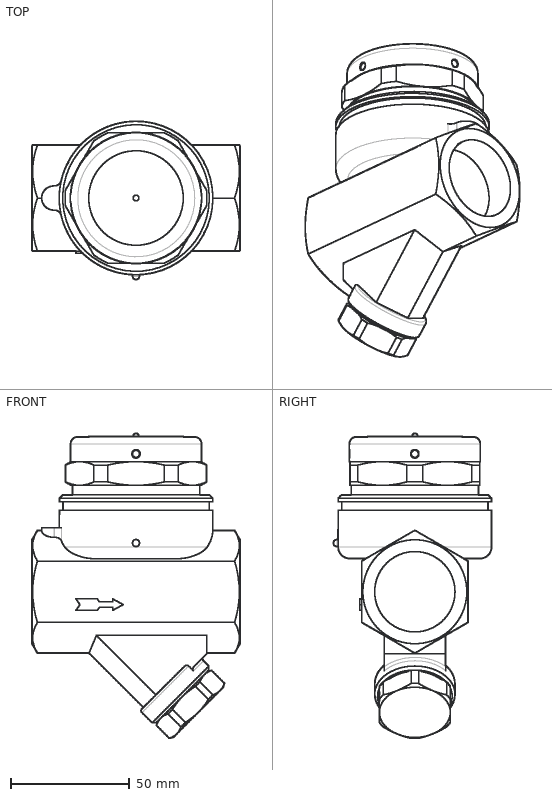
import cadquery as cq
import math

CHAMFER_SLOPE = math.tan(math.radians(30))

PIPE_LENGTH = 88.0
PIPE_FLATS = 45.0
PIPE_END_DIAMETER = 44.0
BORE_DIAMETER = 34.0
BORE_DEPTH = 14.0

CUP_DIAMETER = 65.0
CUP_BOTTOM = 14.0
CUP_TOP = 34.5
CUP_FILLET = 5.0
PIN_DIAMETER = 3.0
PIN_HEIGHT = 20.6
PIN_REACH = 34.49

TONGUE_RADIUS = 5.1
TONGUE_CENTRE_X = -34.8
TONGUE_TOP = 27.1
TONGUE_FILLET = 3.0

ARROW_TAIL_X = -25.4
ARROW_NOTCH_X = -23.7
ARROW_SHOULDER_X = -16.4
ARROW_SHAFT_X = -15.4
ARROW_HEAD_X = -9.8
ARROW_TIP_X = -5.4
ARROW_Z = -5.45
ARROW_HALF_HEIGHT = 2.4
ARROW_SHAFT_HALF_HEIGHT = 1.15
ARROW_RELIEF = 0.9

BRANCH_OFFSET = 17.4
BRANCH_FLATS = 26.0
BRANCH_END = 39.7
COLLAR_DIAMETER = 34.0
COLLAR_START = 36.8
COLLAR_END = 45.2
COLLAR_FILLET = 1.0
COLLAR_CHAMFER = 1.2
PLUG_FLATS = 30.0
PLUG_CORNER_DIAMETER = 33.0
PLUG_END = 54.7

FLANGE_DIAMETER = CUP_DIAMETER
FLANGE_BOTTOM = 38.0
FLANGE_TOP = 41.0
FLANGE_CHAMFER = 1.5
GROOVE_DIAMETER = FLANGE_DIAMETER - 2 * FLANGE_CHAMFER
NECK_DIAMETER = 54.0
NUT_FLATS = 55.0
NUT_CORNER_DIAMETER = 60.0
NUT_BOTTOM = 45.0
NUT_TOP = 55.0
CAP_DIAMETER = 55.5
CAP_TOP = 65.5
CAP_FILLET = 3.0
WEEP_HOLE_COUNT = 4
WEEP_HOLE_DIAMETER = 3.0
WEEP_HOLE_HEIGHT = 58.3
WEEP_HOLE_MOUTH = 3.6
WEEP_HOLE_DEPTH = 2.0
PLATE_DIAMETER = 40.0
PLATE_THICKNESS = 0.3
RIVET_RADIUS = 1.2


def cylinder(diameter, bottom, top):
    return cq.Workplane("XY").workplane(offset=bottom).circle(diameter / 2).extrude(top - bottom)


def chamfered_hexagon(flats, corner_diameter, end_diameter, bottom, top):
    """Hexagon along Z with corners on X, turned to a diameter and chamfered at both ends."""
    corner_radius = corner_diameter / 2
    end_radius = end_diameter / 2
    drop = (corner_radius - end_radius) * CHAMFER_SLOPE
    hexagon = (
        cq.Workplane("XY").workplane(offset=bottom)
        .polygon(6, flats / math.cos(math.radians(30))).extrude(top - bottom)
    )
    turned = (
        cq.Workplane("XZ")
        .moveTo(0, bottom)
        .lineTo(end_radius, bottom)
        .lineTo(corner_radius, bottom + drop)
        .lineTo(corner_radius, top - drop)
        .lineTo(end_radius, top)
        .lineTo(0, top)
        .close()
        .revolve(360, (0, 0, 0), (0, 1, 0))
    )
    return hexagon.intersect(turned)


def make_pipe():
    across_corners = PIPE_FLATS / math.cos(math.radians(30))
    upright = chamfered_hexagon(
        PIPE_FLATS, across_corners, PIPE_END_DIAMETER, -PIPE_LENGTH / 2, PIPE_LENGTH / 2
    )
    return upright.rotate((0, 0, 0), (0, 1, 0), 90)


def make_bores():
    core_end = PIPE_LENGTH / 2 - BORE_DEPTH
    bore = cq.Workplane("YZ").workplane(offset=core_end).circle(BORE_DIAMETER / 2).extrude(BORE_DEPTH)
    return bore.union(bore.mirror("YZ"))


def make_cup():
    return cylinder(CUP_DIAMETER, CUP_BOTTOM, CUP_TOP).faces("<Z").edges().fillet(CUP_FILLET)


def make_pin():
    radius = PIN_DIAMETER / 2
    shank_reach = PIN_REACH - radius
    shank = cq.Workplane("XZ", origin=(0, 0, PIN_HEIGHT)).circle(radius).extrude(shank_reach)
    tip = cq.Workplane("XY").sphere(radius).translate((0, -shank_reach, PIN_HEIGHT))
    return shank.union(tip)


def make_tongue():
    """Round-ended tongue that flares into the cup with a fillet on each side."""
    flare_y = TONGUE_RADIUS + TONGUE_FILLET
    flare_x = -math.sqrt((CUP_DIAMETER / 2 + TONGUE_FILLET) ** 2 - flare_y ** 2)
    touch = CUP_DIAMETER / 2 / (CUP_DIAMETER / 2 + TONGUE_FILLET)
    touch_x = flare_x * touch
    touch_y = flare_y * touch
    middle_angle = (math.atan2(touch_y - flare_y, touch_x - flare_x) - math.pi / 2) / 2
    middle_x = flare_x + TONGUE_FILLET * math.cos(middle_angle)
    middle_y = flare_y + TONGUE_FILLET * math.sin(middle_angle)
    return (
        cq.Workplane("XY")
        .moveTo(0, touch_y)
        .lineTo(touch_x, touch_y)
        .threePointArc((middle_x, middle_y), (flare_x, TONGUE_RADIUS))
        .lineTo(TONGUE_CENTRE_X, TONGUE_RADIUS)
        .threePointArc((TONGUE_CENTRE_X - TONGUE_RADIUS, 0), (TONGUE_CENTRE_X, -TONGUE_RADIUS))
        .lineTo(flare_x, -TONGUE_RADIUS)
        .threePointArc((middle_x, -middle_y), (touch_x, -touch_y))
        .lineTo(0, -touch_y)
        .close()
        .extrude(TONGUE_TOP)
    )


def make_arrow():
    upper_half = [
        (ARROW_TAIL_X, ARROW_HALF_HEIGHT),
        (ARROW_SHOULDER_X, ARROW_HALF_HEIGHT),
        (ARROW_SHAFT_X, ARROW_SHAFT_HALF_HEIGHT),
        (ARROW_HEAD_X, ARROW_SHAFT_HALF_HEIGHT),
        (ARROW_HEAD_X, ARROW_HALF_HEIGHT),
    ]
    lower_half = [(x, -z) for x, z in reversed(upper_half)]
    outline = [(ARROW_NOTCH_X, 0), *upper_half, (ARROW_TIP_X, 0), *lower_half]
    return (
        cq.Workplane("XZ", origin=(0, 0, ARROW_Z))
        .polyline(outline).close().extrude(PIPE_FLATS / 2 + ARROW_RELIEF)
    )


def place_on_branch(shape):
    """Move a shape from the Z axis onto the branch axis, its X turned up and outwards."""
    shift = -BRANCH_OFFSET / math.sqrt(2)
    tilted = shape.rotate((0, 0, 0), (1, 0, 0), 180).rotate((0, 0, 0), (0, 1, 0), -45)
    return tilted.translate((shift, 0, shift))


def make_branch_end():
    """Round envelope that ends the branch with a concave fillet running onto the collar."""
    collar_radius = COLLAR_DIAMETER / 2
    fillet_radius = collar_radius + COLLAR_FILLET
    middle = COLLAR_FILLET * (1 - math.sqrt(0.5))
    return (
        cq.Workplane("XZ")
        .lineTo(PIPE_LENGTH, 0)
        .lineTo(PIPE_LENGTH, BRANCH_END)
        .lineTo(fillet_radius, BRANCH_END)
        .threePointArc(
            (collar_radius + middle, BRANCH_END + middle), (collar_radius, BRANCH_END + COLLAR_FILLET)
        )
        .lineTo(0, BRANCH_END + COLLAR_FILLET)
        .close()
        .revolve(360, (0, 0, 0), (0, 1, 0))
    )


def make_branch():
    """Prism with a pointed lower side, kept below the pipe axis and inside the bore floor."""
    half_width = BRANCH_FLATS / 2
    corner = BRANCH_FLATS / math.sqrt(3)
    prism = (
        cq.Workplane("XY")
        .polyline([
            (-corner, 0),
            (-corner / 2, half_width),
            (PIPE_LENGTH / 2, half_width),
            (PIPE_LENGTH / 2, -half_width),
            (-corner / 2, -half_width),
        ])
        .close().extrude(COLLAR_END)
    )
    limit_x = PIPE_LENGTH / 2 - BORE_DEPTH
    limits = cq.Workplane("XY").box(
        2 * limit_x, BRANCH_FLATS, PIPE_LENGTH, centered=(True, True, False)
    ).translate((0, 0, -PIPE_LENGTH))
    return place_on_branch(prism.intersect(make_branch_end())).intersect(limits)


def make_strainer_plug():
    collar = (
        cylinder(COLLAR_DIAMETER, COLLAR_START, COLLAR_END)
        .faces("<Z").edges().fillet(COLLAR_FILLET)
        .faces(">Z").chamfer(COLLAR_CHAMFER)
    )
    hexagon = chamfered_hexagon(PLUG_FLATS, PLUG_CORNER_DIAMETER, PLUG_FLATS, COLLAR_END, PLUG_END)
    return place_on_branch(collar.union(hexagon))


def make_body():
    solid = make_pipe()
    features = [make_cup(), make_pin(), make_tongue(), make_arrow(), make_branch(), make_strainer_plug()]
    for feature in features:
        solid = solid.union(feature)
    return solid.cut(make_bores())


def make_weep_hole():
    """Blind hole along X with a bevelled mouth and a round bottom."""
    radius = WEEP_HOLE_DIAMETER / 2
    mouth_radius = WEEP_HOLE_MOUTH / 2
    mouth_x = CAP_DIAMETER / 2
    bevel_x = mouth_x - (mouth_radius - radius)
    bottom_x = mouth_x - WEEP_HOLE_DEPTH
    round_x = bottom_x + radius
    diagonal = radius * math.sqrt(0.5)
    return (
        cq.Workplane("XY")
        .moveTo(bottom_x, 0)
        .threePointArc((round_x - diagonal, diagonal), (round_x, radius))
        .lineTo(bevel_x, radius)
        .lineTo(mouth_x, mouth_radius)
        .lineTo(mouth_x + WEEP_HOLE_DEPTH, mouth_radius)
        .lineTo(mouth_x + WEEP_HOLE_DEPTH, 0)
        .close()
        .revolve(360, (0, 0, 0), (1, 0, 0))
        .translate((0, 0, WEEP_HOLE_HEIGHT))
    )


def make_module():
    flange = cylinder(FLANGE_DIAMETER, FLANGE_BOTTOM, FLANGE_TOP).faces(">Z").chamfer(FLANGE_CHAMFER)
    cap = cylinder(CAP_DIAMETER, NUT_TOP, CAP_TOP).faces(">Z").edges().fillet(CAP_FILLET)
    plate_top = CAP_TOP + PLATE_THICKNESS
    module = (
        cylinder(GROOVE_DIAMETER, CUP_TOP, FLANGE_BOTTOM)
        .union(flange)
        .union(cylinder(NECK_DIAMETER, FLANGE_TOP, NUT_BOTTOM))
        .union(chamfered_hexagon(NUT_FLATS, NUT_CORNER_DIAMETER, NUT_FLATS, NUT_BOTTOM, NUT_TOP))
        .union(cap)
        .union(cylinder(PLATE_DIAMETER, CAP_TOP, plate_top))
        .union(cq.Workplane("XY").sphere(RIVET_RADIUS).translate((0, 0, plate_top)))
    )
    for index in range(WEEP_HOLE_COUNT):
        angle = index * 360 / WEEP_HOLE_COUNT
        module = module.cut(make_weep_hole().rotate((0, 0, 0), (0, 0, 1), angle))
    return module


body = make_body()
module = make_module()
result = cq.Compound.makeCompound([body.val(), module.val()])